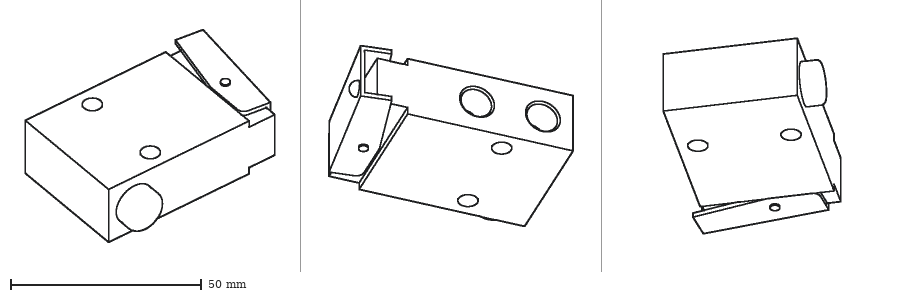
import cadquery as cq
import math

body_width = 36.0
body_length = 55.0
body_thickness = 18.0
neck_length = 8.5
neck_thickness = 13.8

mount_hole_diameter = 5.3
mount_hole_spacing = 25.0
mount_hole_y = 18.0

port_diameter = 8.57
port_mouth_diameter = 9.73
port_depth = 10.0
port_y_positions = (8.5, 27.0)

plug_diameter = 12.0
plug_length = 5.0
plug_edge_radius = 1.0

plunger_diameter = 4.5
plunger_x = 6.5
plunger_height = 2.5
plunger_tip_height = 0.75
plunger_z = -3.45

lever_tilt = math.radians(7.0)
lever_corner_x = -2.096
lever_corner_y = 60.48
lever_length = 34.9
lever_end_height = 8.4
lever_wall = 1.3
lever_web = 1.1
lever_thickness = neck_thickness + 2 * lever_wall
lever_bottom_x = 18.1
lever_bottom_y = 47.55
lever_corner_radius = 2.2

button_diameter = 4.5
button_distance = 3.5
button_sink = 0.06

pin_diameter = 2.6
pin_length = 17.3
pin_x = 19.0
pin_y = 51.7


def centred_prism(outline, thickness):
    """Extrude a closed XY outline symmetrically about Z = 0."""
    return outline.extrude(thickness / 2, both=True)


def lever_point(along, depth):
    """Point in XY at a distance along the lever's back and a depth below it."""
    x = lever_corner_x + along * math.cos(lever_tilt) - depth * math.sin(lever_tilt)
    y = lever_corner_y - along * math.sin(lever_tilt) - depth * math.cos(lever_tilt)
    return x, y


def make_body():
    shoulder_y = body_length - neck_length
    main_block = cq.Workplane("XY").rect(body_width, shoulder_y, centered=False)
    neck = cq.Workplane("XY").rect(body_width, body_length, centered=False)
    return centred_prism(main_block, body_thickness).union(centred_prism(neck, neck_thickness))


def make_mount_holes():
    left_x = (body_width - mount_hole_spacing) / 2
    centres = [(left_x, mount_hole_y), (left_x + mount_hole_spacing, mount_hole_y)]
    outline = cq.Workplane("XY").pushPoints(centres).circle(mount_hole_diameter / 2)
    return centred_prism(outline, body_thickness)


def make_port(y):
    """Blind bore from the -X face with a 45 degree chamfered mouth."""
    bore_radius = port_diameter / 2
    mouth_radius = port_mouth_diameter / 2
    chamfer_depth = mouth_radius - bore_radius
    half_section = [
        (0, y),
        (0, y + mouth_radius),
        (chamfer_depth, y + bore_radius),
        (port_depth, y + bore_radius),
        (port_depth, y),
    ]
    return cq.Workplane("XY").polyline(half_section).close().revolve(360, (0, y), (1, y))


def make_plug():
    plug = (
        cq.Workplane("YZ", origin=(body_width, port_y_positions[0], 0))
        .circle(plug_diameter / 2)
        .extrude(plug_length)
    )
    return plug.faces(">X").edges().fillet(plug_edge_radius)


def make_plunger():
    radius = plunger_diameter / 2
    tip_sphere_radius = (radius**2 + plunger_tip_height**2) / (2 * plunger_tip_height)
    mid_x = radius / 2
    mid_drop = tip_sphere_radius - math.sqrt(tip_sphere_radius**2 - mid_x**2)
    tip_y = plunger_height + plunger_tip_height
    return (
        cq.Workplane("XY", origin=(plunger_x, body_length, plunger_z))
        .lineTo(radius, 0)
        .lineTo(radius, plunger_height)
        .threePointArc((mid_x, tip_y - mid_drop), (0, tip_y))
        .close()
        .revolve(360, (0, 0), (0, 1))
    )


def make_lever():
    far_top_x, far_top_y = lever_point(lever_length, 0)
    far_bottom_x = far_top_x - (far_top_y - lever_bottom_y) * math.tan(lever_tilt)
    outline = [
        lever_point(0, 0),
        (far_top_x, far_top_y),
        (far_bottom_x, lever_bottom_y),
        (lever_bottom_x, lever_bottom_y),
        lever_point(0, lever_end_height),
    ]
    lever = centred_prism(cq.Workplane("XY").polyline(outline).close(), lever_thickness)
    rounded_corner = cq.selectors.NearestToPointSelector((far_bottom_x, lever_bottom_y, 0))
    lever = lever.edges("|Z").edges(rounded_corner).fillet(lever_corner_radius)

    overrun = body_width
    channel_outline = [
        lever_point(-overrun, lever_web),
        lever_point(lever_length + overrun, lever_web),
        lever_point(lever_length + overrun, lever_web + overrun),
        lever_point(-overrun, lever_web + overrun),
    ]
    channel = centred_prism(cq.Workplane("XY").polyline(channel_outline).close(), neck_thickness)
    return lever.cut(channel)


def make_button():
    """Half ball sunk slightly into the lever's back."""
    radius = button_diameter / 2
    centre_x, centre_y = lever_point(button_distance, button_sink)
    along_back = (math.cos(lever_tilt), -math.sin(lever_tilt), 0)
    plane = cq.Plane(origin=(centre_x, centre_y, plunger_z), xDir=along_back, normal=(0, 0, 1))
    diagonal = radius * math.sqrt(0.5)
    return (
        cq.Workplane(plane)
        .lineTo(radius, 0)
        .threePointArc((diagonal, diagonal), (0, radius))
        .close()
        .revolve(360, (0, 0), (0, 1))
    )


def make_pin():
    outline = cq.Workplane("XY").center(pin_x, pin_y).circle(pin_diameter / 2)
    return centred_prism(outline, pin_length)


body = make_body().cut(make_mount_holes())
for port_y in port_y_positions:
    body = body.cut(make_port(port_y))

result = body.union(make_plug()).union(make_plunger())
result = result.union(make_lever()).union(make_button()).union(make_pin())